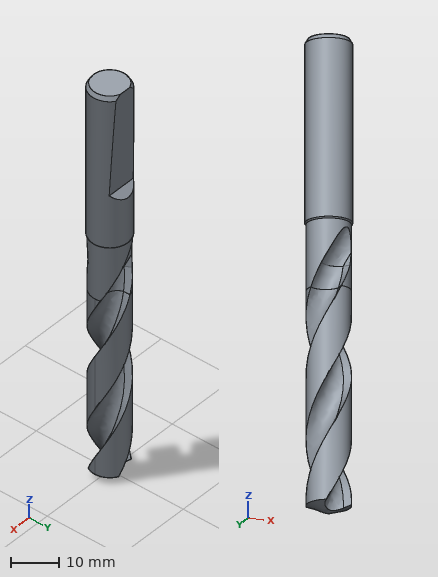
import cadquery as cq
import math

TOTAL_LENGTH = 103.0
CUTTER_LENGTH = 48.4
HELIX_TOP = 53.6
SHANK_START = 62.8

SHANK_RADIUS = 10.0 / 2
DRILL_RADIUS = 9.5 / 2
POINT_ANGLE = 140.0
STEP_HEIGHT = 0.3
CHAMFER_HEIGHT = 1.0
CHAMFER_WIDTH = 0.6

FLUTE_COUNT = 2
FLUTE_LEAD = 53.6
LIP_OFFSET = 1.0
LIP_INNER = 2.9
CORE_RADIUS = 1.1
CORE_ANGLE = 237.0
HEEL_ANGLE = 197.0
CLEARANCE = 2.1
OUTER_REACH = DRILL_RADIUS + CLEARANCE

RUNOUT_HEIGHT = SHANK_START - HELIX_TOP
RUNOUT_SIDE = 4.6
RUNOUT_OUT = 2.8

FLAT_BOTTOM = 75.1
FLAT_DEPTH = 1.9
FLAT_TILT = 2.2


def polar(radius, angle):
    """Point at an angle in degrees about the tool axis."""
    return (radius * math.cos(math.radians(angle)), radius * math.sin(math.radians(angle)))


def turn_at(height):
    """Rotation of the flute section at a height, relative to the joint."""
    return 360.0 * (height - CUTTER_LENGTH) / FLUTE_LEAD


def flute_section(height):
    """Straight lip, curved flute floor and heel, closed outside the drill."""
    heel = polar(DRILL_RADIUS, HEEL_ANGLE)
    return (
        cq.Workplane("XY")
        .moveTo(LIP_OFFSET, -OUTER_REACH)
        .lineTo(LIP_OFFSET, -LIP_INNER)
        .threePointArc(polar(CORE_RADIUS, CORE_ANGLE), heel)
        .lineTo(-OUTER_REACH, heel[1])
        .lineTo(-OUTER_REACH, -OUTER_REACH)
        .close()
        .rotate((0, 0, 0), (0, 0, 1), turn_at(height))
        .translate((0, 0, height))
    )


def make_helix(bottom, top):
    """Twisted flute cutter between two heights."""
    wire = flute_section(bottom).val()
    return cq.Workplane(
        cq.Solid.extrudeLinearWithRotation(
            wire,
            [],
            cq.Vector(0, 0, bottom),
            cq.Vector(0, 0, top - bottom),
            turn_at(top) - turn_at(bottom),
        )
    )


def make_runout():
    """Straight flute end that climbs out of the drill surface."""
    travel = cq.Vector(RUNOUT_SIDE, -RUNOUT_OUT, RUNOUT_HEIGHT)
    wire = flute_section(HELIX_TOP).val()
    return cq.Workplane(cq.Solid.extrudeLinear(wire, [], travel))


def cut_flutes(body, flute):
    """Cut evenly spaced copies of a flute."""
    for index in range(FLUTE_COUNT):
        body = body.cut(flute.rotate((0, 0, 0), (0, 0, 1), index * 360.0 / FLUTE_COUNT))
    return body


def make_cutter():
    """Pointed cutting end with helical flutes."""
    point_height = DRILL_RADIUS / math.tan(math.radians(POINT_ANGLE / 2))
    blank = (
        cq.Workplane("XZ")
        .moveTo(0, 0)
        .lineTo(DRILL_RADIUS, point_height)
        .lineTo(DRILL_RADIUS, CUTTER_LENGTH)
        .lineTo(0, CUTTER_LENGTH)
        .close()
        .revolve(360, (0, 0, 0), (0, 1, 0))
    )
    return cut_flutes(blank, make_helix(-CLEARANCE, CUTTER_LENGTH + CLEARANCE))


def make_flat_cut():
    """Wedge with a 45 degree lower end and a slightly tilted floor."""
    floor_y = SHANK_RADIUS - FLAT_DEPTH
    floor_bottom = FLAT_BOTTOM + FLAT_DEPTH
    floor_rise = (TOTAL_LENGTH - floor_bottom) * math.tan(math.radians(FLAT_TILT))
    return (
        cq.Workplane("YZ")
        .moveTo(SHANK_RADIUS, FLAT_BOTTOM)
        .lineTo(floor_y, floor_bottom)
        .lineTo(floor_y + floor_rise, TOTAL_LENGTH)
        .lineTo(SHANK_RADIUS, TOTAL_LENGTH)
        .close()
        .extrude(SHANK_RADIUS, both=True)
    )


def make_holder():
    """Neck with the flute ends, and the shank with its clamping flat."""
    blank = (
        cq.Workplane("XZ")
        .moveTo(0, CUTTER_LENGTH)
        .lineTo(DRILL_RADIUS, CUTTER_LENGTH)
        .lineTo(DRILL_RADIUS, SHANK_START)
        .lineTo(SHANK_RADIUS, SHANK_START + STEP_HEIGHT)
        .lineTo(SHANK_RADIUS, TOTAL_LENGTH - CHAMFER_HEIGHT)
        .lineTo(SHANK_RADIUS - CHAMFER_WIDTH, TOTAL_LENGTH)
        .lineTo(0, TOTAL_LENGTH)
        .close()
        .revolve(360, (0, 0, 0), (0, 1, 0))
    )
    fluted = cut_flutes(blank, make_helix(CUTTER_LENGTH - CLEARANCE, HELIX_TOP))
    fluted = cut_flutes(fluted, make_runout())
    return fluted.cut(make_flat_cut())


cutter = make_cutter()
holder = make_holder()
result = cq.Compound.makeCompound([cutter.val(), holder.val()])